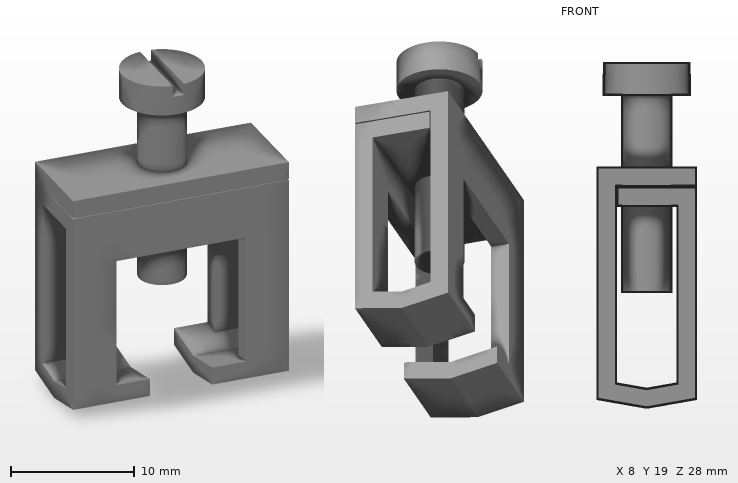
import cadquery as cq
import math

width = 8.0
length = 19.0
strap_top = 19.53
sheet = 1.5
lap_gap = 0.1
bottom_angle = math.radians(10)

leg_length = 3.8
window_top = 13.42
mouth_length = 5.5

total_height = 28.02
head_diameter = 7
head_height = 2.6
shaft_diameter = 4.03
shaft_bottom = 9.4
driver_slot_width = 0.98
driver_slot_depth = 0.98

half_width = width / 2
inner_half = half_width - sheet
slope = math.tan(bottom_angle)
floor_apex = sheet / math.cos(bottom_angle)
gap_top = strap_top - sheet
tongue_top = gap_top - lap_gap
tongue_bottom = tongue_top - sheet


def extrude_along_y(points, depth):
    """Extrude an XZ outline symmetrically about the XZ plane."""
    return cq.Workplane("XZ").polyline(points).close().extrude(depth / 2, both=True)


def make_strap():
    """Closed frame with a V-shaped floor and a lapped double top."""
    outer_edge = half_width * slope
    inner_edge = floor_apex + inner_half * slope
    frame = extrude_along_y(
        [
            (-half_width, strap_top),
            (half_width, strap_top),
            (half_width, outer_edge),
            (0, 0),
            (-half_width, outer_edge),
        ],
        length,
    )
    opening = extrude_along_y(
        [
            (-inner_half, tongue_bottom),
            (inner_half, tongue_bottom),
            (inner_half, inner_edge),
            (0, floor_apex),
            (-inner_half, inner_edge),
        ],
        length,
    )
    gap = extrude_along_y(
        [
            (-inner_half, tongue_bottom),
            (-inner_half, gap_top),
            (half_width, gap_top),
            (half_width, tongue_top),
            (-inner_half + lap_gap, tongue_top),
            (-inner_half + lap_gap, tongue_bottom),
        ],
        length,
    )
    return frame.cut(opening).cut(gap)


def make_window():
    """Side window through both walls, reaching down to the V-shaped floor."""
    window_edge = floor_apex + half_width * slope
    return extrude_along_y(
        [
            (-half_width, window_top),
            (half_width, window_top),
            (half_width, window_edge),
            (0, floor_apex),
            (-half_width, window_edge),
        ],
        length - 2 * leg_length,
    )


def make_mouth():
    """Opening that splits the floor into two facing feet."""
    return cq.Workplane("XY").box(
        width, mouth_length, window_top, centered=(True, True, False)
    )


def make_screw():
    """Slotted cylinder-head screw passing through the double top."""
    head_bottom = total_height - head_height
    shaft = (
        cq.Workplane("XY")
        .workplane(offset=shaft_bottom)
        .circle(shaft_diameter / 2)
        .extrude(head_bottom - shaft_bottom)
    )
    head = (
        cq.Workplane("XY")
        .workplane(offset=head_bottom)
        .circle(head_diameter / 2)
        .extrude(head_height)
    )
    slot = (
        cq.Workplane("XY")
        .workplane(offset=total_height - driver_slot_depth)
        .rect(head_diameter, driver_slot_width)
        .extrude(driver_slot_depth)
    )
    return shaft.union(head).cut(slot)


strap = make_strap().cut(make_window()).cut(make_mouth())
result = strap.union(make_screw())